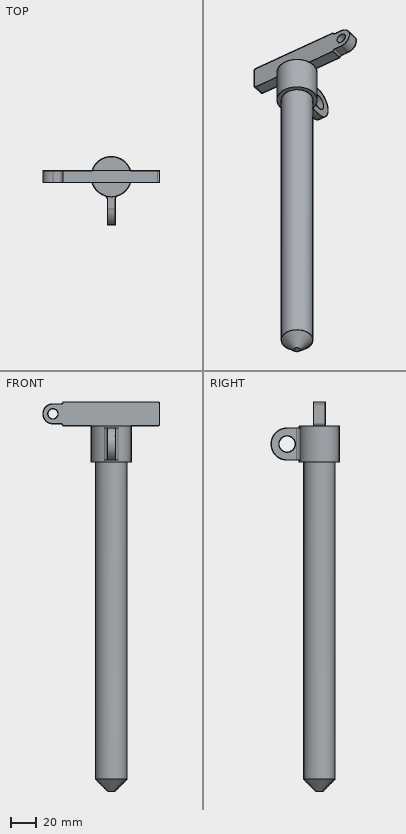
import cadquery as cq
import math

INCH = 25.4

pin_diameter = 25.0
pin_length = 260.0
tip_chamfer = 10.0

collar_diameter = 1.25 * INCH
collar_radius = collar_diameter / 2
collar_height = 1.125 * INCH

lug_thickness = 0.25 * INCH
lug_height = 1.0 * INCH
lug_hole_diameter = 0.5 * INCH
lug_hole_offset = 1.0 * INCH
lug_root_fillet = 0.125 * INCH

bar_thickness = 0.375 * INCH
bar_height = 0.75 * INCH
bar_half_length = 1.5 * INCH
bar_corner_radius = INCH / 16

eye_height = bar_height - 2 * bar_corner_radius
eye_radius = eye_height / 2
eye_hole_diameter = 0.3125 * INCH
eye_hole_offset = 1.8125 * INCH

collar_bottom = pin_length
collar_top = collar_bottom + collar_height
collar_middle = collar_bottom + collar_height / 2
bar_middle = collar_top + bar_height / 2


def make_pin():
    """Round pin with a blunt conical tip."""
    pin = cq.Workplane("XY").circle(pin_diameter / 2).extrude(pin_length)
    return pin.faces("<Z").chamfer(tip_chamfer)


def make_collar():
    collar = cq.Workplane("XY").workplane(offset=collar_bottom)
    return collar.circle(collar_radius).extrude(collar_height)


def make_lug_plate():
    """Upright plate from the pin axis to the hole centre, ending in a full round."""
    radius = lug_height / 2
    return (
        cq.Workplane("YZ", origin=(-lug_thickness / 2, 0, collar_middle))
        .moveTo(0, radius)
        .lineTo(-lug_hole_offset, radius)
        .threePointArc((-lug_hole_offset - radius, 0), (-lug_hole_offset, -radius))
        .lineTo(0, -radius)
        .close()
        .extrude(lug_thickness)
    )


def make_lug_root():
    """Flared root: concave arcs tangent to both the collar and the lug sides."""
    half_thickness = lug_thickness / 2
    arc_x = half_thickness + lug_root_fillet
    arc_distance = collar_radius + lug_root_fillet
    arc_y = -math.sqrt(arc_distance**2 - arc_x**2)

    collar_share = collar_radius / arc_distance
    touch_x = arc_x * collar_share
    touch_y = arc_y * collar_share
    middle_angle = (math.pi + math.atan2(-arc_y, -arc_x)) / 2
    middle_x = arc_x + lug_root_fillet * math.cos(middle_angle)
    middle_y = arc_y + lug_root_fillet * math.sin(middle_angle)

    return (
        cq.Workplane("XY", origin=(0, 0, collar_middle - lug_height / 2))
        .moveTo(0, 0)
        .lineTo(touch_x, touch_y)
        .threePointArc((middle_x, middle_y), (half_thickness, arc_y))
        .lineTo(-half_thickness, arc_y)
        .threePointArc((-middle_x, middle_y), (-touch_x, touch_y))
        .close()
        .extrude(lug_height)
    )


def make_lug_hole():
    return (
        cq.Workplane("YZ", origin=(-lug_thickness / 2, -lug_hole_offset, collar_middle))
        .circle(lug_hole_diameter / 2)
        .extrude(lug_thickness)
    )


def make_cross_bar():
    """Bar rounded at its +X end and blended by concave arcs into the eye at its -X end."""
    half_height = bar_height / 2
    round_start = bar_half_length - bar_corner_radius
    blend_start = -bar_half_length - bar_corner_radius
    bar = (
        cq.Workplane("XZ", origin=(0, bar_thickness / 2, bar_middle))
        .moveTo(blend_start, eye_radius)
        .radiusArc((-bar_half_length, half_height), -bar_corner_radius)
        .lineTo(round_start, half_height)
        .radiusArc((bar_half_length, eye_radius), bar_corner_radius)
        .lineTo(bar_half_length, -eye_radius)
        .radiusArc((round_start, -half_height), bar_corner_radius)
        .lineTo(-bar_half_length, -half_height)
        .radiusArc((blend_start, -eye_radius), -bar_corner_radius)
        .lineTo(-eye_hole_offset, -eye_radius)
        .threePointArc((-eye_hole_offset - eye_radius, 0), (-eye_hole_offset, eye_radius))
        .close()
        .extrude(bar_thickness)
    )
    eye_hole = (
        cq.Workplane("XZ", origin=(-eye_hole_offset, bar_thickness / 2, bar_middle))
        .circle(eye_hole_diameter / 2)
        .extrude(bar_thickness)
    )
    return bar.cut(eye_hole)


lug = make_lug_plate().union(make_lug_root()).cut(make_lug_hole())
result = make_pin().union(make_collar()).union(lug).union(make_cross_bar())